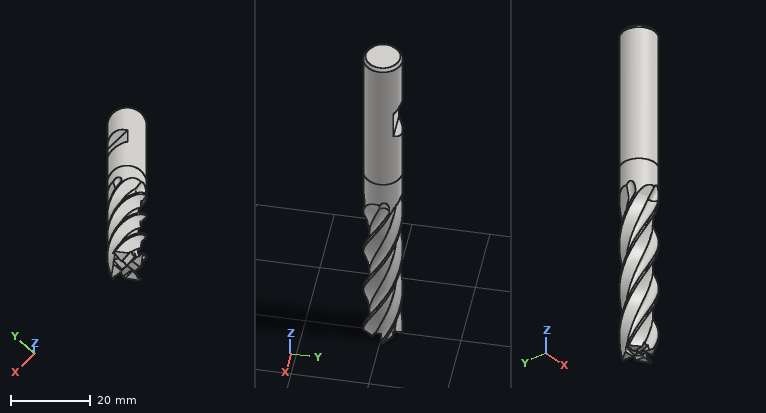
import cadquery as cq
import math

total_length = 95.0
diameter = 10.0
radius = diameter / 2
shank_start = 55.1

chamfer_height = 0.95
chamfer_depth = 0.6
flat_depth = 1.6
flat_bottom = 71.25
flat_top = 78.8

tooth_count = 4
tooth_pitch = 360 / tooth_count
flute_length = 45.0
helix_angle = 30.0
helix_lead = math.pi * diameter / math.tan(math.radians(helix_angle))
flute_twist = 360 * flute_length / helix_lead

margin_angle = 8.0
heel_radius = 3.5
heel_angle = 55.0
flute_floor_radius = 2.9
flute_floor_angle = 79.0

runout_height = 3.7
runout_reach = 2.1

end_relief = 0.4
gash_height = 2.1
gash_inner_height = 0.5
gash_floor_width = 1.7
gash_mouth_width = 2.7
end_clearance = 0.95


def polar(distance, angle):
    """Point at a distance from the axis and an angle in degrees."""
    turn = math.radians(angle)
    return distance * math.cos(turn), distance * math.sin(turn)


def tooth_section():
    """Cross-section at the cutting end, with one tooth per repeat."""
    section = cq.Workplane("XY").moveTo(radius, 0)
    for tooth in range(tooth_count):
        edge = tooth * tooth_pitch
        section = (
            section.threePointArc(polar(radius, edge + margin_angle / 2), polar(radius, edge + margin_angle))
            .lineTo(*polar(heel_radius, edge + heel_angle))
            .threePointArc(
                polar(flute_floor_radius, edge + flute_floor_angle),
                polar(radius, edge + tooth_pitch),
            )
        )
    return section.close()


def runout_cutter(tooth):
    """Flute void swept upward and outward until it leaves the neck."""
    edge = flute_twist + tooth * tooth_pitch
    outside = diameter
    void = (
        cq.Workplane("XY", origin=(0, 0, flute_length))
        .moveTo(*polar(radius, edge + margin_angle))
        .lineTo(*polar(heel_radius, edge + heel_angle))
        .threePointArc(
            polar(flute_floor_radius, edge + flute_floor_angle),
            polar(radius, edge + tooth_pitch),
        )
        .lineTo(*polar(outside, edge + tooth_pitch))
        .lineTo(*polar(outside, edge + margin_angle))
        .close()
    )
    out_x, out_y = polar(runout_reach, edge + flute_floor_angle)
    sweep = cq.Vector(out_x, out_y, runout_height)
    return cq.Workplane(cq.Solid.extrudeLinear(void.wires().val(), [], sweep))


def end_cutter(profile, rise):
    """Radial prism along +X whose profile climbs by rise at the outer radius."""
    wire = cq.Workplane("YZ").polyline(profile).close().wires().val()
    return cq.Workplane(cq.Solid.extrudeLinear(wire, [], cq.Vector(radius, 0, rise)))


def make_cutter():
    """Fluted cutting part with its neck and end teeth."""
    cutter = tooth_section().twistExtrude(flute_length, flute_twist)
    neck_height = shank_start - flute_length
    neck = cq.Workplane("XY", origin=(0, 0, flute_length)).circle(radius).extrude(neck_height)
    for tooth in range(tooth_count):
        neck = neck.cut(runout_cutter(tooth))
    cutter = cutter.union(neck)

    relief = end_cutter([(0, 0), (radius, end_relief), (radius, -end_clearance), (0, -end_clearance)], 0)
    gash_rise = gash_height - gash_inner_height
    gash_bottom = -end_clearance - gash_rise
    gash = end_cutter(
        [
            (0, gash_bottom),
            (0, gash_inner_height),
            (-gash_floor_width, gash_inner_height),
            (-gash_mouth_width, gash_bottom),
        ],
        gash_rise,
    )
    for tooth in range(tooth_count):
        turn = tooth * tooth_pitch
        for tool in (relief, gash):
            cutter = cutter.cut(tool.rotate((0, 0, 0), (0, 0, 1), turn))
    return cutter


def make_shank():
    """Cylindrical shank with a chamfered end and a 45 degree sided clamping flat."""
    shank = (
        cq.Workplane("XY", origin=(0, 0, shank_start))
        .circle(radius)
        .extrude(total_length - shank_start)
        .faces(">Z")
        .chamfer(chamfer_height, chamfer_depth)
    )
    floor = radius - flat_depth
    mouth = radius + flat_depth
    flare = mouth - floor
    notch = (
        cq.Workplane("YZ")
        .polyline([
            (floor, flat_bottom),
            (floor, flat_top),
            (mouth, flat_top + flare),
            (mouth, flat_bottom - flare),
        ])
        .close()
        .extrude(radius, both=True)
    )
    return shank.cut(notch)


cutter = make_cutter()
shank = make_shank()
result = cq.Compound.makeCompound([cutter.val(), shank.val()])